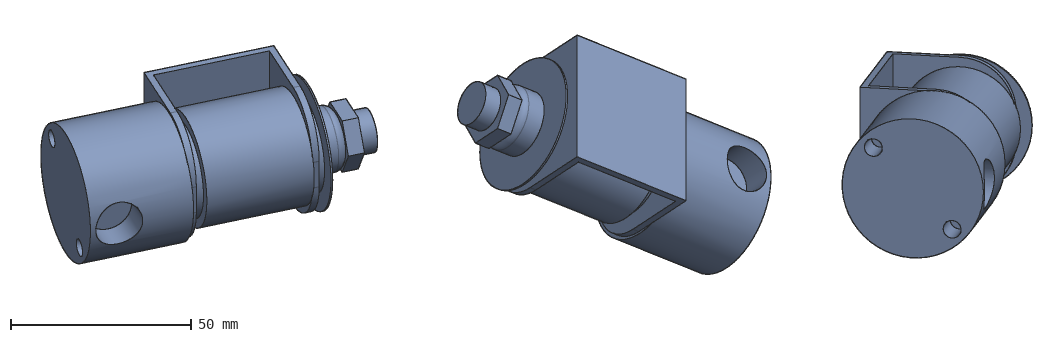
import cadquery as cq
import math

OVERALL_LENGTH = 89.85
OVERALL_WIDTH = 41.15

BLOCK_RADIUS = 40.0 / 2
BLOCK_LENGTH = 30.5
PORT_DIAMETER = 13.8
PORT_Y = 8.5
PORT_DEPTH = 9.0
MOUNT_HOLE_DIAMETER = 5.0
MOUNT_HOLE_OFFSET = 11.1
MOUNT_HOLE_DEPTH = 9.9

NECK_LENGTH = 0.45
BRACKET_FRONT = BLOCK_LENGTH + NECK_LENGTH
BRACKET_LENGTH = 38.4
BRACKET_BACK = BRACKET_FRONT + BRACKET_LENGTH
BRACKET_THICKNESS = 2.1
BRACKET_HEIGHT = 39.35
BRACKET_LEFT = BLOCK_RADIUS - OVERALL_WIDTH
BRACKET_TIP = 15.4

NECK_RADIUS = 12.85
SHOULDER_RADIUS = 14.3
COIL_RADIUS = 17.0
COIL_FRONT = 35.5
COIL_BACK = BRACKET_BACK - BRACKET_THICKNESS
REAR_SHOULDER_LENGTH = 2.0
DISC_FRONT = BRACKET_BACK + REAR_SHOULDER_LENGTH
DISC_RADIUS = 19.4
DISC_THICKNESS = 0.5
DISC_BACK = DISC_FRONT + DISC_THICKNESS

BOSS_RADIUS = 9.5
BOSS_STRAIGHT_LENGTH = 5.4
BOSS_ROUNDING = 3.0
BOSS_BACK = DISC_BACK + BOSS_STRAIGHT_LENGTH + BOSS_ROUNDING
NUT_ACROSS_FLATS = 17.25
NUT_LENGTH = 4.8
NUT_BACK = 84.6
NUT_FRONT = NUT_BACK - NUT_LENGTH
STUB_RADIUS = 6.4


def plane_at(y):
    """Plane facing +Y, with its own x axis along X and its y axis along -Z."""
    return cq.Workplane(cq.Plane(origin=(0, y, 0), xDir=(1, 0, 0), normal=(0, 1, 0)))


def cylinder(radius, y_front, y_back):
    return plane_at(y_front).circle(radius).extrude(y_back - y_front)


def make_block():
    block = cylinder(BLOCK_RADIUS, 0, BLOCK_LENGTH)
    port_floor = BLOCK_RADIUS - PORT_DEPTH
    port = (
        cq.Workplane("YZ", origin=(port_floor, 0, 0))
        .center(PORT_Y, 0)
        .circle(PORT_DIAMETER / 2)
        .extrude(PORT_DEPTH)
    )
    block = block.cut(port).cut(port.mirror("YZ"))
    mount_holes = (
        plane_at(0)
        .pushPoints([(side * MOUNT_HOLE_OFFSET, side * MOUNT_HOLE_OFFSET) for side in (-1, 1)])
        .circle(MOUNT_HOLE_DIAMETER / 2)
        .extrude(MOUNT_HOLE_DEPTH)
    )
    return block.cut(mount_holes)


def make_boss():
    boss = cylinder(BOSS_RADIUS, DISC_BACK, BOSS_BACK)
    return boss.faces(">Y").edges().fillet(BOSS_ROUNDING)


def make_nut():
    across_corners = NUT_ACROSS_FLATS / math.cos(math.pi / 6)
    return plane_at(NUT_FRONT).polygon(6, across_corners).extrude(NUT_LENGTH)


def make_valve():
    valve = make_block()
    sections = [
        cylinder(NECK_RADIUS, BLOCK_LENGTH, DISC_FRONT),
        cylinder(SHOULDER_RADIUS, BRACKET_FRONT + BRACKET_THICKNESS, COIL_FRONT),
        cylinder(COIL_RADIUS, COIL_FRONT, COIL_BACK),
        cylinder(SHOULDER_RADIUS, BRACKET_BACK, DISC_FRONT),
        cylinder(DISC_RADIUS, DISC_FRONT, DISC_BACK),
        make_boss(),
        make_nut(),
        cylinder(STUB_RADIUS, NUT_BACK, OVERALL_LENGTH),
    ]
    for section in sections:
        valve = valve.union(section)
    return valve


def make_bracket():
    bracket_width = BRACKET_TIP - BRACKET_LEFT
    bracket = (
        plane_at(BRACKET_FRONT)
        .center(BRACKET_LEFT + bracket_width / 2, 0)
        .rect(bracket_width, BRACKET_HEIGHT)
        .extrude(BRACKET_LENGTH)
    )
    bracket = bracket.edges(">X and |Y").fillet(BRACKET_TIP)
    opening_width = bracket_width - BRACKET_THICKNESS
    opening = cq.Workplane("XY").box(
        opening_width, BRACKET_LENGTH - 2 * BRACKET_THICKNESS, BRACKET_HEIGHT
    )
    opening = opening.translate(
        (BRACKET_TIP - opening_width / 2, BRACKET_FRONT + BRACKET_LENGTH / 2, 0)
    )
    stem_holes = cylinder(NECK_RADIUS, BRACKET_FRONT, BRACKET_BACK)
    return bracket.cut(opening).cut(stem_holes)


valve = make_valve()
bracket = make_bracket()

result = cq.Compound.makeCompound([valve.val(), bracket.val()])